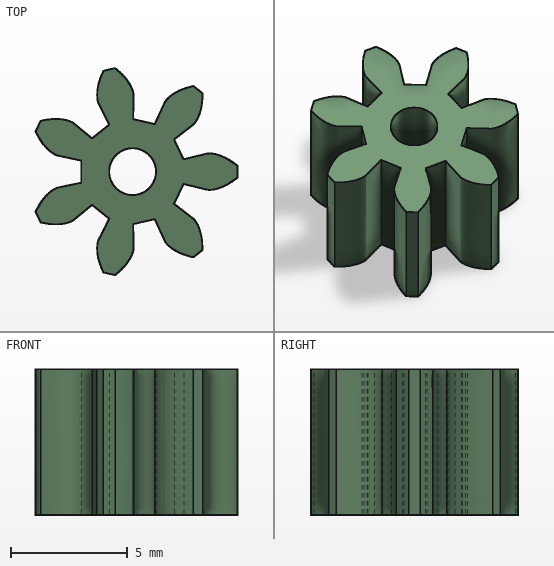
import cadquery as cq
import math

OVERALL_LENGTH = 8.87
FACE_WIDTH = 6.25
BORE_DIAMETER = 2.0
TOOTH_COUNT = 7
PRESSURE_ANGLE = math.radians(20)
ADDENDUM_FACTOR = 1.0
DEDENDUM_FACTOR = 1.25
TALLEST_TOOTH = 2
FLANK_POINTS = 9

tooth_pitch_angle = 2 * math.pi / TOOTH_COUNT
base_half_angle = tooth_pitch_angle / 4 + math.tan(PRESSURE_ANGLE) - PRESSURE_ANGLE
tip_to_pitch_ratio = 1 + 2 * ADDENDUM_FACTOR / TOOTH_COUNT
tip_to_base_ratio = tip_to_pitch_ratio / math.cos(PRESSURE_ANGLE)
tip_roll_angle = math.sqrt(tip_to_base_ratio ** 2 - 1)
tip_half_angle = base_half_angle - (tip_roll_angle - math.atan(tip_roll_angle))

tip_radius = OVERALL_LENGTH / 2 / math.sin(TALLEST_TOOTH * tooth_pitch_angle - tip_half_angle)
base_radius = tip_radius / tip_to_base_ratio
pitch_radius = tip_radius / tip_to_pitch_ratio
module = 2 * pitch_radius / TOOTH_COUNT
root_radius = pitch_radius - DEDENDUM_FACTOR * module


def polar_point(radius, angle):
    return (radius * math.cos(angle), radius * math.sin(angle))


def involute_flank(tooth_angle, side):
    """Points from base circle to tip; side is -1 for the clockwise flank, +1 for the other."""
    points = []
    for index in range(FLANK_POINTS):
        roll = tip_roll_angle * index / (FLANK_POINTS - 1)
        radius = base_radius * math.hypot(1, roll)
        half_angle = base_half_angle - (roll - math.atan(roll))
        points.append(polar_point(radius, tooth_angle + side * half_angle))
    return points


def gear_outline():
    """Teeth with radial lower flanks, involute upper flanks, and flat tips and root gaps."""
    outline = cq.Workplane("XY").moveTo(*polar_point(root_radius, -base_half_angle))
    for tooth in range(TOOTH_COUNT):
        tooth_angle = tooth * tooth_pitch_angle
        rising = involute_flank(tooth_angle, -1)
        falling = involute_flank(tooth_angle, 1)[::-1]
        outline = outline.lineTo(*rising[0])
        outline = outline.spline(rising[1:], includeCurrent=True)
        outline = outline.lineTo(*falling[0])
        outline = outline.spline(falling[1:], includeCurrent=True)
        outline = outline.lineTo(*polar_point(root_radius, tooth_angle + base_half_angle))
        if tooth < TOOTH_COUNT - 1:
            next_tooth_angle = tooth_angle + tooth_pitch_angle
            outline = outline.lineTo(*polar_point(root_radius, next_tooth_angle - base_half_angle))
    return outline.close()


gear = gear_outline().extrude(FACE_WIDTH)
bore = cq.Workplane("XY").circle(BORE_DIAMETER / 2).extrude(FACE_WIDTH)
result = gear.cut(bore)